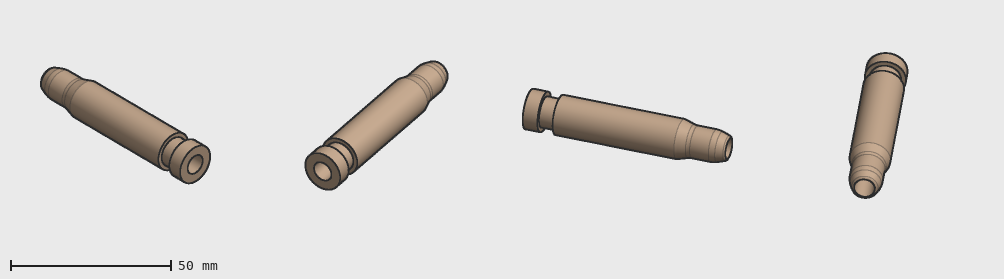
import math

import cadquery as cq

total_length = 66.0
head_length = 4.9
groove_width = 5.0
shoulder_start = 11.9
shoulder_end = 16.0
head_start = total_length - head_length
groove_start = head_start - groove_width

head_radius = 13.0 / 2
body_radius = 12.9 / 2
neck_radius = 10.5 / 2
groove_radius = 10.0 / 2
bore_radius = 6.5 / 2

nose_angle = math.radians(18.5)
nose_rim_radius = 0.92
nose_blend_radius = 6.3

shoulder_blend_radius = 4.7
shoulder_angle = math.atan2(body_radius - neck_radius, shoulder_end - shoulder_start)


def arc_point(center, radius, angle):
    """Point on a circle, with the angle measured from the outward radial direction toward the nose."""
    return (center[0] - radius * math.sin(angle), center[1] + radius * math.cos(angle))


def add_nose(outline):
    """Draw the rounded rim, the taper and the tangent blend up to the neck."""
    rim_center = (nose_rim_radius, bore_radius)
    rim_end = arc_point(rim_center, nose_rim_radius, nose_angle)
    rim_middle = arc_point(rim_center, nose_rim_radius, (math.pi / 2 + nose_angle) / 2)

    blend_center_radius = neck_radius - nose_blend_radius
    blend_start_radius = blend_center_radius + nose_blend_radius * math.cos(nose_angle)
    blend_start_x = rim_end[0] + (blend_start_radius - rim_end[1]) / math.tan(nose_angle)
    blend_center = (blend_start_x + nose_blend_radius * math.sin(nose_angle), blend_center_radius)
    blend_middle = arc_point(blend_center, nose_blend_radius, nose_angle / 2)

    return (
        outline.threePointArc(rim_middle, rim_end)
        .lineTo(blend_start_x, blend_start_radius)
        .threePointArc(blend_middle, (blend_center[0], neck_radius))
    )


def add_shoulder(outline):
    """Draw the neck, its concave blend and the cone up to the body."""
    blend_start_x = shoulder_start - shoulder_blend_radius * math.tan(shoulder_angle / 2)
    blend_center = (blend_start_x, neck_radius + shoulder_blend_radius)
    blend_middle = arc_point(blend_center, shoulder_blend_radius, math.pi + shoulder_angle / 2)
    blend_end = arc_point(blend_center, shoulder_blend_radius, math.pi + shoulder_angle)

    return (
        outline.lineTo(blend_start_x, neck_radius)
        .threePointArc(blend_middle, blend_end)
        .lineTo(shoulder_end, body_radius)
    )


def add_body_and_head(outline):
    """Draw the body, the square groove and the head at the far end."""
    return (
        outline.lineTo(groove_start, body_radius)
        .lineTo(groove_start, groove_radius)
        .lineTo(head_start, groove_radius)
        .lineTo(head_start, head_radius)
        .lineTo(total_length, head_radius)
        .lineTo(total_length, bore_radius)
    )


half_section = cq.Workplane("XZ").moveTo(0, bore_radius)
half_section = add_nose(half_section)
half_section = add_shoulder(half_section)
half_section = add_body_and_head(half_section).close()

result = half_section.revolve(360, (0, 0, 0), (1, 0, 0))